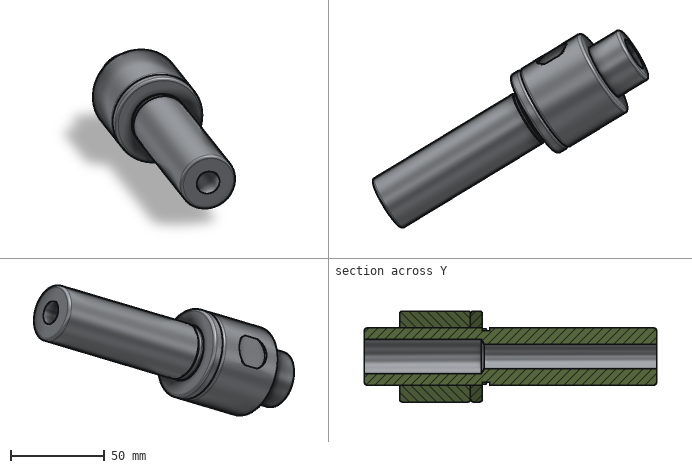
import cadquery as cq
import math

shaft_length = 157.2
shaft_diameter = 31.0
end_round = 1.5
groove_diameter = 28.0
groove_end = 67.4

bore_diameter = 18.2
bore_depth = 62.9
through_diameter = 12.7
cone_half_angle = 59.0

outer_diameter = 49.2
housing_start = 19.0
housing_end = 57.2
ring_end = 63.5
spot_face_diameter = 19.0
spot_face_depth = 1.54
spot_face_x = 37.0

retainer_diameter = 30.2
retainer_end = 65.8
retainer_round = 1.0


def cylinder(diameter, start, end):
    """Solid cylinder on the X axis between two X positions."""
    return cq.Workplane("YZ", origin=(start, 0, 0)).circle(diameter / 2).extrude(end - start)


def hollow_cylinder(outside, inside, start, end):
    """Plain tube on the X axis."""
    return cylinder(outside, start, end).cut(cylinder(inside, start, end))


def rounded_sleeve(start, end):
    """Sleeve that fits the shaft, with both outer edges rounded."""
    body = cylinder(outer_diameter, start, end).faces("<X or >X").edges().fillet(end_round)
    return body.cut(cylinder(shaft_diameter, start, end))


def make_bore():
    """Wide bore that narrows through a cone to the smaller through hole."""
    wide_radius = bore_diameter / 2
    narrow_radius = through_diameter / 2
    cone_length = (wide_radius - narrow_radius) / math.tan(math.radians(cone_half_angle))
    profile = (
        cq.Workplane("XY")
        .lineTo(0, wide_radius)
        .lineTo(bore_depth, wide_radius)
        .lineTo(bore_depth + cone_length, narrow_radius)
        .lineTo(shaft_length, narrow_radius)
        .lineTo(shaft_length, 0)
        .close()
    )
    return profile.revolve(360, (0, 0, 0), (1, 0, 0))


def make_shaft():
    """Pillar with rounded ends, the retainer groove and the stepped bore."""
    body = cylinder(shaft_diameter, 0, shaft_length).faces("<X or >X").edges().fillet(end_round)
    groove = hollow_cylinder(shaft_diameter, groove_diameter, ring_end, groove_end)
    return body.cut(groove).cut(make_bore())


def make_housing():
    """Long sleeve with a round, flat-bottomed spot face on its +Y side."""
    body = rounded_sleeve(housing_start, housing_end)
    spot_face = (
        cq.Workplane("XZ", origin=(spot_face_x, outer_diameter / 2 - spot_face_depth, 0))
        .circle(spot_face_diameter / 2)
        .extrude(-spot_face_depth)
    )
    return body.cut(spot_face)


def make_ring():
    """Short sleeve that butts against the housing."""
    return rounded_sleeve(housing_end, ring_end)


def make_retainer():
    """Collar seated in the shaft groove against the ring, rounded on its free edge."""
    body = cylinder(retainer_diameter, ring_end, retainer_end)
    body = body.faces(">X").edges().fillet(retainer_round)
    return body.cut(cylinder(groove_diameter, ring_end, retainer_end))


shaft = make_shaft()
housing = make_housing()
ring = make_ring()
retainer = make_retainer()

result = cq.Compound.makeCompound([shaft.val(), housing.val(), ring.val(), retainer.val()])